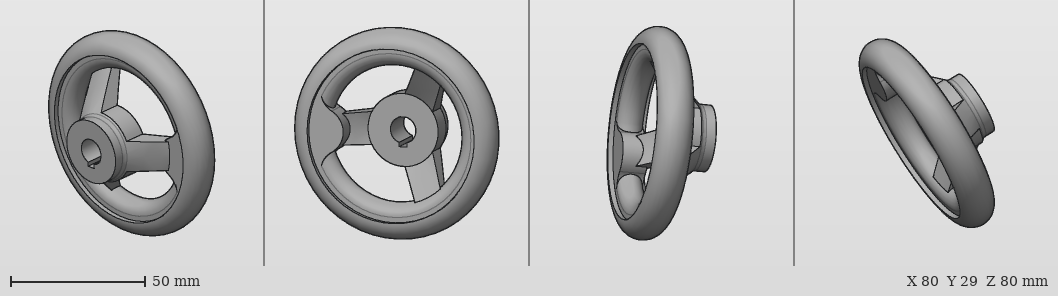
import cadquery as cq
import math

outer_radius = 40.0
grip_radius = 7.0
step_radius = outer_radius - grip_radius
rim_hole_radius = outer_radius - 2 * grip_radius
web_thickness = 10.0
web_round = web_thickness / 2
web_front = -web_thickness / 2

nose_radius = 25.0 / 2
collar_radius = 13.8
hub_front = grip_radius - 28.95
hub_back = -grip_radius
nose_fillet = 2.4
corner_margin = 0.1
bore_radius = 5.0
keyway_width = 3.0
keyway_depth = 6.4

spoke_count = 3
spoke_root_half_width = 6.7
spoke_tip_half_width = 5.7
spoke_tip_radius = 29.6
cone_outer_radius = 24.2
nose_corner = -17.2
cone_slope = (web_front - nose_corner) / (cone_outer_radius - nose_radius)
cone_tip = nose_corner + cone_slope * (spoke_tip_radius - nose_radius)
back_tip = 4.6

boss_center_x = 28.4
boss_radius = 8.95
boss_blend = 8.5
boss_overlap_radius = step_radius + 1.6
blend_edge_x = 28.3


def revolved(profile):
    """Turn a closed (radius, Y) profile once around the Y axis."""
    return profile.close().revolve(360, (0, 0, 0), (0, 1, 0))


def cylinder(radius, y_front, y_back):
    return cq.Workplane("XZ", origin=(0, y_back, 0)).circle(radius).extrude(y_back - y_front)


def make_rim():
    flat_end = rim_hole_radius + web_round
    return revolved(
        cq.Workplane("XY")
        .moveTo(step_radius, -grip_radius)
        .threePointArc((outer_radius, 0), (step_radius, grip_radius))
        .lineTo(step_radius, -web_front)
        .lineTo(flat_end, -web_front)
        .threePointArc((rim_hole_radius, 0), (flat_end, web_front))
        .lineTo(step_radius, web_front)
    )


def make_boss():
    blend_x = blend_edge_x - boss_blend
    center_offset = boss_center_x - blend_x
    center_distance = boss_radius + boss_blend
    blend_z = math.sqrt(center_distance**2 - center_offset**2)
    touch_x = boss_center_x - center_offset * boss_radius / center_distance
    touch_z = blend_z * boss_radius / center_distance
    mid_angle = math.atan2(touch_z - blend_z, touch_x - blend_x) / 2
    mid_x = blend_x + boss_blend * math.cos(mid_angle)
    mid_z = blend_z + boss_blend * math.sin(mid_angle)
    edge_z = math.sqrt(boss_overlap_radius**2 - blend_edge_x**2)
    return (
        cq.Workplane("XZ", origin=(0, -web_front, 0))
        .moveTo(blend_edge_x, edge_z)
        .lineTo(blend_edge_x, blend_z)
        .threePointArc((mid_x, mid_z), (touch_x, touch_z))
        .threePointArc((boss_center_x - boss_radius, 0), (touch_x, -touch_z))
        .threePointArc((mid_x, -mid_z), (blend_edge_x, -blend_z))
        .lineTo(blend_edge_x, -edge_z)
        .threePointArc((boss_overlap_radius, 0), (blend_edge_x, edge_z))
        .close()
        .extrude(web_thickness)
    )


def make_spokes():
    arm = (
        cq.Workplane("XZ", origin=(0, grip_radius, 0))
        .polyline([
            (0, spoke_root_half_width),
            (spoke_tip_radius, spoke_tip_half_width),
            (spoke_tip_radius, -spoke_tip_half_width),
            (0, -spoke_root_half_width),
        ])
        .close()
        .extrude(grip_radius - hub_front)
    )
    arms = arm
    for index in range(1, spoke_count):
        arms = arms.union(arm.rotate((0, 0, 0), (0, 1, 0), index * 360 / spoke_count))
    return arms


def make_hub_and_spokes():
    """Trim the collar and arms with the two cones, then blend the front cone into the nose."""
    blank = cylinder(collar_radius, hub_front, hub_back).union(make_spokes())
    envelope = revolved(
        cq.Workplane("XY")
        .moveTo(0, hub_front)
        .lineTo(nose_radius, hub_front)
        .lineTo(nose_radius, nose_corner)
        .lineTo(spoke_tip_radius, cone_tip)
        .lineTo(spoke_tip_radius, back_tip)
        .lineTo(collar_radius, hub_back)
        .lineTo(0, hub_back)
    )
    corner_box = cq.selectors.BoxSelector(
        (-nose_radius, nose_corner - corner_margin, -nose_radius),
        (nose_radius, nose_corner + corner_margin, nose_radius),
    )
    return blank.intersect(envelope).edges(corner_box).fillet(nose_fillet)


def make_bore():
    keyway = (
        cq.Workplane("XZ", origin=(0, hub_back, 0))
        .center(0, -keyway_depth / 2)
        .rect(keyway_width, keyway_depth)
        .extrude(hub_back - hub_front)
    )
    return cylinder(bore_radius, hub_front, hub_back).union(keyway)


result = make_rim().union(make_boss()).union(make_hub_and_spokes()).cut(make_bore())